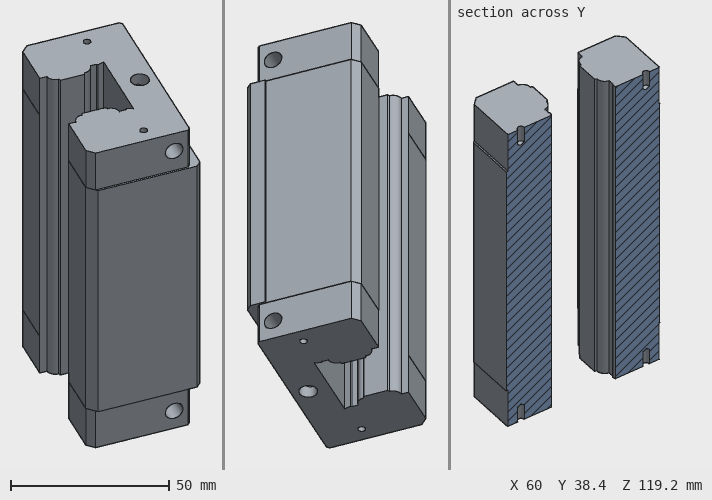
import cadquery as cq
import math

length = 119.2
block_length = 89.4
width = 60.0
height = 38.4
top_y = height / 2
base_y = -top_y

block_half_width = width / 2
block_top_chamfer = 1.7
relief_depth = 0.5
relief_start_y = top_y - 6.7
relief_end_y = top_y - 6.9

cap_half_width = 29.3
cap_top_y = top_y - 3.7
cap_base_y = base_y + 0.06
cap_top_chamfer = 0.8

base_half_width = 26.9

channel_top_y = top_y - 16.5
mouth_half_width = 12.4
lip_half_width = 12.0
lip_tip_y = channel_top_y - 2.1
lip_end_y = channel_top_y - 2.5
corner_half_width = 12.6
jaw_half_width = 9.0
jaw_center_y = top_y - 28.5
jaw_half_height = 4.0
ledge_half_width = 9.8
ledge_half_height = 4.4
shoulder_half_height = 7.4
shoulder_radius = 3.0

port_y = top_y - 9.2
port_end_offset = 7.0
cross_hole_diameter = 6.0
end_port_diameter = 6.0
screw_diameter = 2.4
screw_x = 24.2
screw_y = top_y - 17.5
screw_depth = 6.0
drill_point_angle = 118.0


def extrude_centered(outline, distance):
    return outline.close().extrude(distance / 2, both=True)


def block():
    """Steel body with chamfered edges and a relieved -X flank."""
    c = block_top_chamfer
    relieved_half_width = block_half_width - relief_depth
    outline = (
        cq.Workplane("XY")
        .moveTo(-base_half_width, base_y)
        .lineTo(base_half_width, base_y)
        .lineTo(block_half_width, base_y + block_half_width - base_half_width)
        .lineTo(block_half_width, top_y - c)
        .lineTo(block_half_width - c, top_y)
        .lineTo(c - block_half_width, top_y)
        .lineTo(-block_half_width, top_y - c)
        .lineTo(-block_half_width, relief_start_y)
        .lineTo(-relieved_half_width, relief_end_y)
        .lineTo(-relieved_half_width, base_y + relieved_half_width - base_half_width)
    )
    return extrude_centered(outline, block_length)


def cap_core():
    """Cap outline over the full length, so both ends stand out of the block."""
    c = cap_top_chamfer
    outline = (
        cq.Workplane("XY")
        .moveTo(-base_half_width, cap_base_y)
        .lineTo(base_half_width, cap_base_y)
        .lineTo(cap_half_width, cap_base_y + cap_half_width - base_half_width)
        .lineTo(cap_half_width, cap_top_y - c)
        .lineTo(cap_half_width - c, cap_top_y)
        .lineTo(c - cap_half_width, cap_top_y)
        .lineTo(-cap_half_width, cap_top_y - c)
        .lineTo(-cap_half_width, cap_base_y + cap_half_width - base_half_width)
    )
    return extrude_centered(outline, length)


def rail_channel():
    """Channel open at the base, drawn for +X and mirrored."""
    half = (
        cq.Workplane("XY")
        .moveTo(0, base_y)
        .lineTo(mouth_half_width, base_y)
        .lineTo(mouth_half_width, jaw_center_y - shoulder_half_height)
        .radiusArc((ledge_half_width, jaw_center_y - ledge_half_height), shoulder_radius)
        .lineTo(jaw_half_width, jaw_center_y - jaw_half_height)
        .lineTo(jaw_half_width, jaw_center_y + jaw_half_height)
        .lineTo(ledge_half_width, jaw_center_y + ledge_half_height)
        .radiusArc((mouth_half_width, jaw_center_y + shoulder_half_height), shoulder_radius)
        .lineTo(mouth_half_width, lip_end_y)
        .lineTo(lip_half_width, lip_tip_y)
        .lineTo(corner_half_width, channel_top_y)
        .lineTo(0, channel_top_y)
    )
    half = extrude_centered(half, length)
    return half.union(half.mirror("YZ"))


def cap_holes():
    """Holes of the +Z cap."""
    cross_z = length / 2 - port_end_offset
    cross = (
        cq.Workplane("YZ").center(port_y, cross_z)
        .circle(cross_hole_diameter / 2).extrude(cap_half_width, both=True)
    )
    port = (
        cq.Workplane("XY").workplane(offset=cross_z).center(0, port_y)
        .circle(end_port_diameter / 2).extrude(port_end_offset)
    )
    r = screw_diameter / 2
    point = r / math.tan(math.radians(drill_point_angle / 2))
    screw = (
        cq.Workplane("XZ")
        .polyline([(0, 0), (r, 0), (r, -screw_depth), (0, -screw_depth - point)]).close()
        .revolve(360, (0, 0, 0), (0, 1, 0))
    )
    holes = cross.union(port)
    for x in (-screw_x, screw_x):
        holes = holes.union(screw.translate((x, screw_y, length / 2)))
    return holes


holes = cap_holes()
result = block().union(cap_core()).cut(rail_channel()).cut(holes).cut(holes.mirror("XY"))